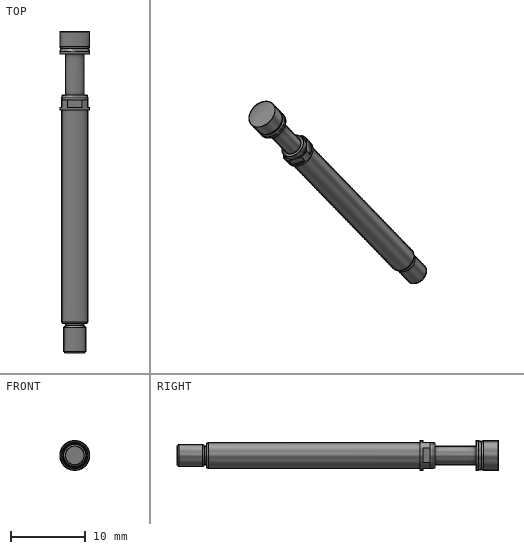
import cadquery as cq

TOTAL_LENGTH = 43.1

HEAD_RADIUS = 2.0
HEAD_LENGTH = 2.0
GROOVE_DEPTH = 0.12
GROOVE_BOTTOM = 2.28
GROOVE_WIDTH = 0.65
RIM_END = 3.0
STEM_RADIUS = 1.25

BODY_RADIUS = 1.75
BARREL_START = 8.5
LEAD_IN_LENGTH = 0.3
LEAD_IN_DEPTH = 0.08
COLLAR_START = 9.15
COLLAR_RADIUS = 2.0
FLANGE_LENGTH = 0.35
FLANGE_END = 10.5
BODY_END = 39.15
BODY_CHAMFER_LENGTH = 0.25
BODY_CHAMFER_DEPTH = 0.15

NECK_RADIUS = 1.25
NECK_END = 39.41
TIP_RADIUS = 1.5
TIP_CHAMFER = 0.25


def make_turned_body():
    """Revolve the full stepped profile about the Y axis."""
    groove_end = HEAD_LENGTH + GROOVE_WIDTH
    tip_start = NECK_END + TIP_RADIUS - NECK_RADIUS
    stations = [
        (0, 0),
        (HEAD_RADIUS, 0),
        (HEAD_RADIUS, HEAD_LENGTH),
        (HEAD_RADIUS - GROOVE_DEPTH, GROOVE_BOTTOM),
        (HEAD_RADIUS, groove_end),
        (HEAD_RADIUS, RIM_END),
        (STEM_RADIUS, RIM_END),
        (STEM_RADIUS, BARREL_START),
        (BODY_RADIUS - LEAD_IN_DEPTH, BARREL_START),
        (BODY_RADIUS, BARREL_START + LEAD_IN_LENGTH),
        (BODY_RADIUS, COLLAR_START),
        (COLLAR_RADIUS, COLLAR_START),
        (COLLAR_RADIUS, FLANGE_END),
        (BODY_RADIUS, FLANGE_END),
        (BODY_RADIUS, BODY_END - BODY_CHAMFER_LENGTH),
        (BODY_RADIUS - BODY_CHAMFER_DEPTH, BODY_END),
        (NECK_RADIUS, BODY_END),
        (NECK_RADIUS, NECK_END),
        (TIP_RADIUS, tip_start),
        (TIP_RADIUS, TOTAL_LENGTH - TIP_CHAMFER),
        (TIP_RADIUS - TIP_CHAMFER, TOTAL_LENGTH),
        (0, TOTAL_LENGTH),
    ]
    points = [(radius, TOTAL_LENGTH / 2 - station) for radius, station in stations]
    return cq.Workplane("XY").polyline(points).close().revolve(360, (0, 0), (0, 1))


def make_flat_cutter():
    """Ring around a square bar, which leaves four flats level with the body."""
    flats_length = FLANGE_END - FLANGE_LENGTH - COLLAR_START
    flats_centre = TOTAL_LENGTH / 2 - COLLAR_START - flats_length / 2
    across_flats = 2 * BODY_RADIUS
    outer_size = 3 * COLLAR_RADIUS
    blank = cq.Workplane("XY").box(outer_size, flats_length, outer_size)
    square_bar = cq.Workplane("XY").box(across_flats, flats_length, across_flats)
    return blank.cut(square_bar).translate((0, flats_centre, 0))


result = make_turned_body().cut(make_flat_cutter())